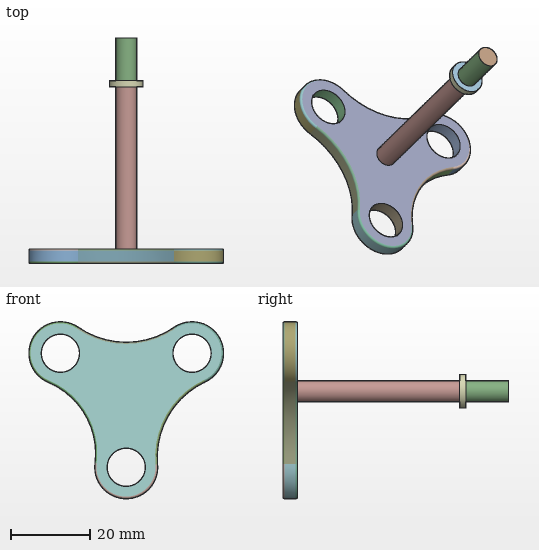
import cadquery as cq
import math

lobe_count = 3
lobe_radius = 8.0
lobe_circle_radius = 19.24
hole_diameter = 9.6
upper_side_radius = 21.3
right_side_radius = 21.0
left_side_radius = 19.5
plate_thickness = 3.75
edge_fillet = 0.5

overall_length = 57.14
shaft_diameter = 5.35
collar_diameter = 8.55
collar_thickness = 1.6
tip_length = 10.8

lobe_step = 360.0 / lobe_count
first_lobe_angle = -90.0
half_step = math.radians(lobe_step / 2)
lobe_angles = [first_lobe_angle + i * lobe_step for i in range(lobe_count)]
side_radii = [right_side_radius, upper_side_radius, left_side_radius]

half_spacing = lobe_circle_radius * math.sin(half_step)
lobe_line_distance = lobe_circle_radius * math.cos(half_step)


def polar(distance, angle):
    """Point at a distance from the shaft axis, with the angle in degrees."""
    turn = math.radians(angle)
    return (distance * math.cos(turn), distance * math.sin(turn))


def side_center_distance(side_radius):
    """Distance from the shaft axis to the centre of an arc tangent to both lobes beside it."""
    center_spacing = lobe_radius + side_radius
    return lobe_line_distance + math.sqrt(center_spacing ** 2 - half_spacing ** 2)


def tangent_point(lobe_angle, side_angle, side_radius):
    """Point where a lobe meets the concave side centred at side_angle."""
    lobe_x, lobe_z = polar(lobe_circle_radius, lobe_angle)
    side_x, side_z = polar(side_center_distance(side_radius), side_angle)
    share = lobe_radius / (lobe_radius + side_radius)
    return (lobe_x + share * (side_x - lobe_x), lobe_z + share * (side_z - lobe_z))


def y_workplane(y):
    """XZ workplane at the given Y, with local axes X and Z."""
    return cq.Workplane("XZ", origin=(0, y, 0))


def cylinder(diameter, y_start, length):
    """Cylinder on the shaft axis, running toward +Y."""
    return y_workplane(y_start).circle(diameter / 2).extrude(-length)


def make_plate():
    start_side_angle = first_lobe_angle - lobe_step / 2
    start = tangent_point(first_lobe_angle, start_side_angle, left_side_radius)
    outline = y_workplane(0).moveTo(*start)
    for lobe_angle, side_radius in zip(lobe_angles, side_radii):
        side_angle = lobe_angle + lobe_step / 2
        lobe_tip = polar(lobe_circle_radius + lobe_radius, lobe_angle)
        lobe_end = tangent_point(lobe_angle, side_angle, side_radius)
        side_middle = polar(side_center_distance(side_radius) - side_radius, side_angle)
        side_end = tangent_point(lobe_angle + lobe_step, side_angle, side_radius)
        outline = outline.threePointArc(lobe_tip, lobe_end)
        outline = outline.threePointArc(side_middle, side_end)
    plate = outline.close().extrude(-plate_thickness)
    plate = plate.faces("<Y or >Y").edges().fillet(edge_fillet)

    hole_centers = [polar(lobe_circle_radius, angle) for angle in lobe_angles]
    holes = y_workplane(0).pushPoints(hole_centers).circle(hole_diameter / 2)
    return plate.cut(holes.extrude(-plate_thickness))


def make_shaft():
    shaft = cylinder(shaft_diameter, plate_thickness, overall_length - plate_thickness)
    collar_start = overall_length - tip_length - collar_thickness
    return shaft.union(cylinder(collar_diameter, collar_start, collar_thickness))


result = make_plate().union(make_shaft())